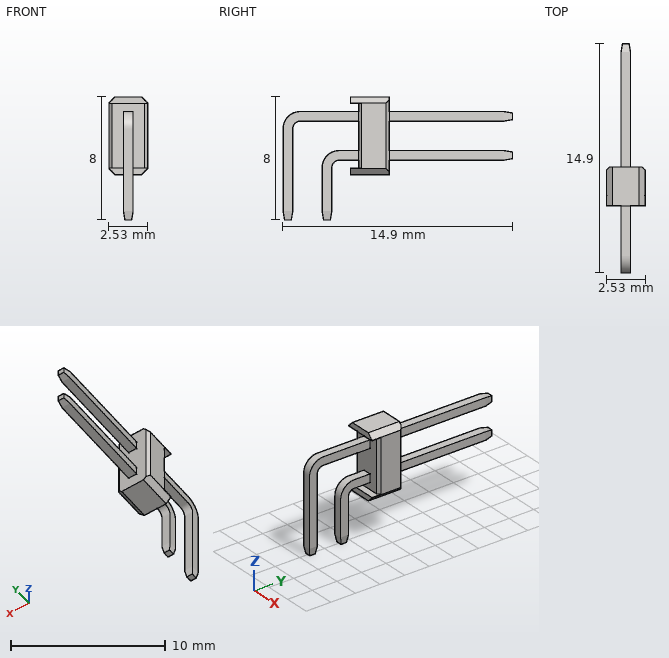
import cadquery as cq

pitch = 2.53
row_count = 2
total_length = 14.9
total_height = 8.0

housing_width = pitch
housing_depth = pitch
housing_height = row_count * pitch
rail_thickness = 0.43
rail_chamfer = 0.4
rail_overhang = 0.54
corner_chamfer = 0.21

pin_width = 0.64
bend_outer_radius = 1.12
bend_inner_radius = bend_outer_radius - pin_width
tip_length = 0.57
tip_width = 0.45
front_reach = 4.37
pin_back = total_length - front_reach
pin_bottom = housing_height / 2 - total_height


def row_height(row):
    """Height of a pin's horizontal axis; row 0 is the lowest."""
    return (row - (row_count - 1) / 2) * pitch


def make_housing():
    body = (
        cq.Workplane("XY")
        .box(housing_width, housing_depth, housing_height, centered=(True, False, True))
        .edges("|Z and >Y")
        .chamfer(corner_chamfer)
        .edges("|Y")
        .chamfer(rail_chamfer)
    )

    half_width = housing_width / 2
    chamfer_back = rail_overhang + corner_chamfer
    recess = (
        cq.Workplane("XY")
        .moveTo(-half_width, 0)
        .lineTo(half_width, 0)
        .lineTo(half_width, chamfer_back)
        .lineTo(half_width - corner_chamfer, rail_overhang)
        .lineTo(corner_chamfer - half_width, rail_overhang)
        .lineTo(-half_width, chamfer_back)
        .close()
        .extrude(housing_height / 2 - rail_thickness, both=True)
    )
    body = body.cut(recess)

    for row in range(row_count):
        hole = (
            cq.Workplane("XY")
            .box(pin_width, housing_depth, pin_width, centered=(True, False, True))
            .translate((0, 0, row_height(row)))
        )
        body = body.cut(hole)
    return body


def make_tip(base_plane):
    """Tapered square tip growing from the base plane along its normal."""
    return (
        cq.Workplane(base_plane)
        .rect(pin_width, pin_width)
        .workplane(offset=tip_length)
        .rect(tip_width, tip_width)
        .loft(ruled=True)
    )


def make_pin(row):
    axis_z = row_height(row)
    front_y = -front_reach + (row_count - 1 - row) * pitch
    leg_y = front_y + pin_width / 2
    top_z = axis_z + pin_width / 2
    bend_y = front_y + bend_outer_radius
    bend_z = top_z - bend_outer_radius
    shank_back = pin_back - tip_length
    leg_bottom = pin_bottom + tip_length

    section_plane = cq.Plane(origin=(0, shank_back, axis_z), xDir=(1, 0, 0), normal=(0, -1, 0))
    bend_radius = (bend_outer_radius + bend_inner_radius) / 2
    path = (
        cq.Workplane("YZ")
        .moveTo(shank_back, axis_z)
        .lineTo(bend_y, axis_z)
        .radiusArc((leg_y, bend_z), -bend_radius)
        .lineTo(leg_y, leg_bottom)
    )
    pin = cq.Workplane(section_plane).rect(pin_width, pin_width).sweep(path)

    back_plane = cq.Plane(origin=(0, shank_back, axis_z), xDir=(1, 0, 0), normal=(0, 1, 0))
    bottom_plane = cq.Plane(origin=(0, leg_y, leg_bottom), xDir=(1, 0, 0), normal=(0, 0, -1))
    return pin.union(make_tip(back_plane)).union(make_tip(bottom_plane))


housing = make_housing()
pins = [make_pin(row) for row in range(row_count)]

result = cq.Compound.makeCompound([housing.val(), *[pin.val() for pin in pins]])